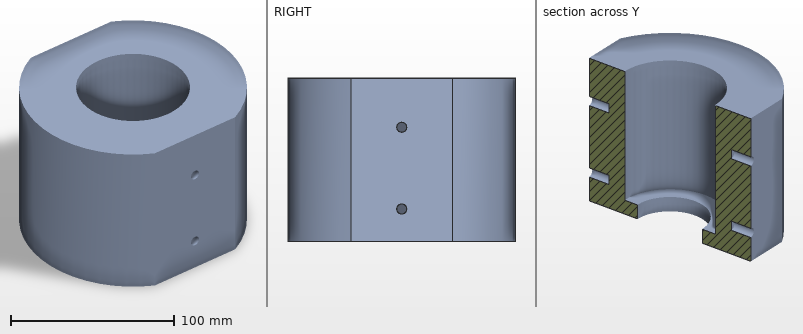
import cadquery as cq

outer_diameter = 139.5
width_across_flats = 125.0
height = 100.0
bore_diameter = 69.7
through_diameter = 50.0
floor_thickness = 10.0

side_hole_diameter = 6.1
side_hole_depth = 15.0
lower_hole_height = 20.0
hole_spacing = height / 2


def flatted_body():
    """Round body cut by two flats parallel to the YZ plane."""
    cylinder = cq.Workplane("XY").circle(outer_diameter / 2).extrude(height)
    slab = cq.Workplane("XY").rect(width_across_flats, outer_diameter).extrude(height)
    return cylinder.intersect(slab)


def stepped_bore():
    """Wide bore from the top, with a smaller hole through its floor."""
    through_hole = cq.Workplane("XY").circle(through_diameter / 2).extrude(height)
    wide_bore = (
        cq.Workplane("XY")
        .workplane(offset=floor_thickness)
        .circle(bore_diameter / 2)
        .extrude(height - floor_thickness)
    )
    return through_hole.union(wide_bore)


def side_holes():
    """Vertical pair of blind holes in the -X flat, mirrored to the +X flat."""
    hole_heights = [lower_hole_height, lower_hole_height + hole_spacing]
    pair = (
        cq.Workplane("YZ", origin=(-width_across_flats / 2, 0, 0))
        .pushPoints([(0, z) for z in hole_heights])
        .circle(side_hole_diameter / 2)
        .extrude(side_hole_depth)
    )
    return pair.union(pair.mirror("YZ"))


result = flatted_body().cut(stepped_bore()).cut(side_holes())